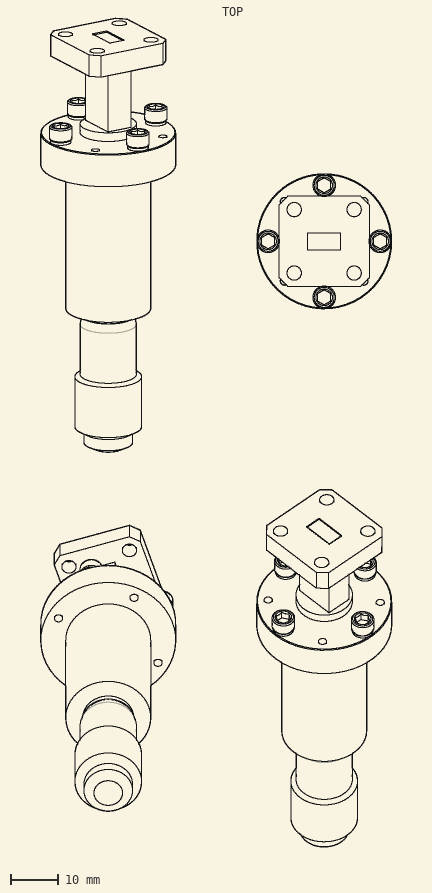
import cadquery as cq
import math

tip_cone_top = 1.1
thimble_cone_bottom = 3.6
thimble_bottom = 4.7
thimble_top = 15.9
sleeve_bottom = 16.45
sleeve_cone_bottom = 27.7
neck_bottom = 29.6
body_bottom = 31.2
flange_bottom = 63.3
flange_top = 70.6
collar_top = 72.5
overall_height = 91.9

tip_radius = 3.0
stub_radius = 5.15
thimble_radius = 7.1
sleeve_radius = 6.0
sleeve_cone_radius = 5.6
neck_radius = 5.4
body_radius = 9.0
flange_diameter = 28.6
flange_radius = flange_diameter / 2
flange_chamfer = 0.2
collar_radius = 6.0

guide_width = 9.1
guide_depth = 5.8
plate_size = 19.1
plate_thickness = 4.8
plate_corner_chamfer = 1.8
plate_hole_diameter = 3.0
plate_hole_spacing_x = 12.7
plate_hole_spacing_y = 13.4
window_width = 7.0
window_height = 3.6
window_depth = 0.3

bolt_circle_radius = 11.9
fastener_count = 4
screw_head_radius = 2.4
screw_head_top = 74.2
screw_head_bottom = 71.15
screw_head_chamfer = 0.3
screw_collar_radius = 2.2
socket_across_flats = 2.8
socket_sides = 6
socket_turn = 30
socket_depth = 1.8
countersink_radius = 1.75
countersink_depth = 0.4
flange_hole_diameter = 1.75


def make_turned_body():
    profile = [
        (0, 0),
        (tip_radius, 0),
        (stub_radius, tip_cone_top),
        (stub_radius, thimble_cone_bottom),
        (thimble_radius, thimble_bottom),
        (thimble_radius, thimble_top),
        (sleeve_radius, sleeve_bottom),
        (sleeve_radius, sleeve_cone_bottom),
        (sleeve_cone_radius, neck_bottom),
        (neck_radius, neck_bottom),
        (neck_radius, body_bottom),
        (body_radius, body_bottom),
        (body_radius, flange_bottom),
        (flange_radius, flange_bottom),
        (flange_radius, flange_top - flange_chamfer),
        (flange_radius - flange_chamfer, flange_top),
        (collar_radius, flange_top),
        (collar_radius, collar_top),
        (0, collar_top),
    ]
    return cq.Workplane("XZ").polyline(profile).close().revolve(360, (0, 0, 0), (0, 1, 0))


def make_waveguide():
    plate_bottom = overall_height - plate_thickness
    guide = (
        cq.Workplane("XY", origin=(0, 0, collar_top))
        .rect(guide_width, guide_depth)
        .extrude(plate_bottom - collar_top)
    )
    plate = (
        cq.Workplane("XY", origin=(0, 0, plate_bottom))
        .rect(plate_size, plate_size)
        .extrude(plate_thickness)
        .edges("|Z")
        .chamfer(plate_corner_chamfer)
        .faces(">Z")
        .workplane()
        .rect(plate_hole_spacing_x, plate_hole_spacing_y, forConstruction=True)
        .vertices()
        .hole(plate_hole_diameter)
        .faces(">Z")
        .workplane()
        .rect(window_width, window_height)
        .cutBlind(-window_depth)
    )
    return guide.union(plate)


def make_screw():
    collar = (
        cq.Workplane("XY", origin=(0, 0, flange_top))
        .circle(screw_collar_radius)
        .extrude(screw_head_bottom - flange_top)
    )
    head = (
        cq.Workplane("XY", origin=(0, 0, screw_head_bottom))
        .circle(screw_head_radius)
        .extrude(screw_head_top - screw_head_bottom)
        .faces("|Z")
        .edges()
        .chamfer(screw_head_chamfer)
    )
    socket_across_corners = socket_across_flats / math.cos(math.pi / socket_sides)
    socket = (
        cq.Workplane("XY", origin=(0, 0, screw_head_top))
        .transformed(rotate=(0, 0, socket_turn))
        .polygon(socket_sides, socket_across_corners)
        .extrude(-socket_depth)
    )
    countersink = (
        cq.Workplane("XY", origin=(0, 0, screw_head_top))
        .circle(countersink_radius)
        .workplane(offset=-countersink_depth)
        .circle(socket_across_flats / 2)
        .loft()
    )
    return collar.union(head).cut(socket).cut(countersink)


def make_flange_hole():
    return (
        cq.Workplane("XY", origin=(0, 0, flange_bottom))
        .circle(flange_hole_diameter / 2)
        .extrude(flange_top - flange_bottom)
    )


def on_bolt_circle(shape, angle):
    """Move a shape off the axis to an angle on the bolt circle, in degrees, without turning it."""
    angle_radians = math.radians(angle)
    x = bolt_circle_radius * math.cos(angle_radians)
    y = bolt_circle_radius * math.sin(angle_radians)
    return shape.translate((x, y, 0))


result = make_turned_body().union(make_waveguide(), clean=False)
fastener_step = 360 / fastener_count
for index in range(fastener_count):
    screw_angle = index * fastener_step
    hole_angle = screw_angle + fastener_step / 2
    result = result.union(on_bolt_circle(make_screw(), screw_angle), clean=False)
    result = result.cut(on_bolt_circle(make_flange_hole(), hole_angle), clean=False)